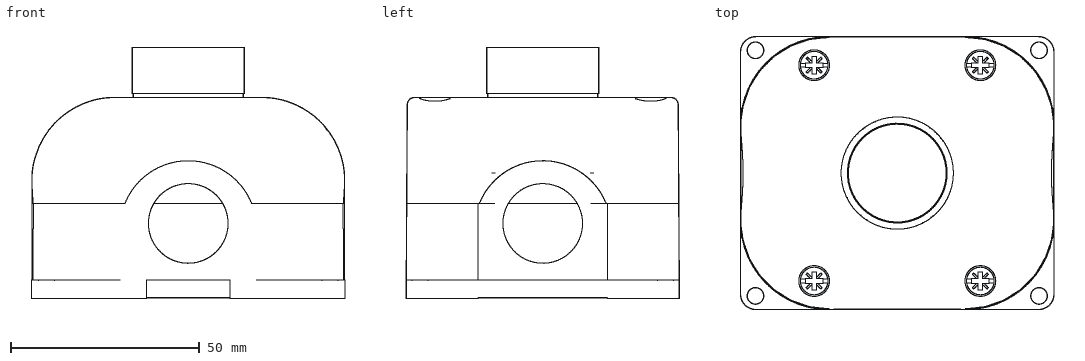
import cadquery as cq
import math

LENGTH = 83.0
WIDTH = 72.3
PLATE_HEIGHT = 4.9
PLATE_CORNER_RADIUS = 4.15
MOUNT_HOLE_DIAMETER = 4.3
MOUNT_HOLE_INSET_X = 4.0
MOUNT_HOLE_INSET_Y = 3.65
CHANNEL_DEPTH = 0.25
LONG_CHANNEL_WIDTH = 34.2
CROSS_CHANNEL_WIDTH = 22.1
NOTCH_DEPTH = 0.2

CORNER_RADIUS = 23.4
DRAFT_ANGLE = 0.33
SPLIT_HEIGHT = 25.2
COVER_TOP = 53.3
SHOULDER_RADIUS = 22.0
SHOULDER_CENTRE_X = 19.4
RIM_FILLET = 2.0

PAD_WIDTH = LONG_CHANNEL_WIDTH
PAD_RECESS = 0.02
SIDE_TAB_DEPTH = 4.8
END_TAB_DEPTH = 5.8
ARCH_HALF_WIDTH = 16.8
ARCH_TOP = 36.5
ENTRY_DIAMETER = 21.1
ENTRY_HEIGHT = 19.9

SCREW_X = 22.0
SCREW_Y = 28.55
SCREW_HOLE_DIAMETER = 8.1
SCREW_SEAT_HEIGHT = 39.8
HEAD_DIAMETER = 7.3
HEAD_HEIGHT = 2.5
HEAD_EDGE_HEIGHT = 0.7
SLOT_WIDTH = 1.0
SLOT_DEPTH = 1.9
CROSS_LENGTH = 4.65
CROSS_WIDTH = 1.25
CROSS_DEPTH = 2.1
STAR_LENGTH = 5.5
STAR_WIDTH = 0.5
STAR_DEPTH = 1.5

BUTTON_TOP = 66.5
COLLAR_RADIUS = 14.85
COLLAR_FOOT_RADIUS = 14.6
COLLAR_FOOT_HEIGHT = 1.0
COLLAR_BORE_RADIUS = 13.2
BUTTON_RADIUS = 12.95
DISH_RADIUS = 10.0
DISH_SPHERE_RADIUS = 33.2
DISH_RIM_FILLET = 5.2

END_INSET = (SPLIT_HEIGHT - PLATE_HEIGHT) * math.tan(math.radians(DRAFT_ANGLE))
END_FACE_X = LENGTH / 2 - END_INSET


def drafted_block(bottom, top):
    """Slice of the drafted, round-cornered housing between two heights."""
    inset = (bottom - PLATE_HEIGHT) * math.tan(math.radians(DRAFT_ANGLE))
    outline = cq.Sketch().rect(LENGTH - 2 * inset, WIDTH - 2 * inset).vertices().fillet(CORNER_RADIUS - inset)
    block = cq.Workplane("XY", origin=(0, 0, bottom)).placeSketch(outline)
    return block.extrude(top - bottom, taper=DRAFT_ANGLE)


def make_shoulder_prism():
    """Cover cross-section: flat top with a large round shoulder on each side."""
    reach = SHOULDER_CENTRE_X + SHOULDER_RADIUS
    arc_start = COVER_TOP - SHOULDER_RADIUS
    mid = SHOULDER_RADIUS * math.sqrt(0.5)
    return (
        cq.Workplane("XZ", origin=(0, WIDTH / 2, 0))
        .moveTo(-reach, SPLIT_HEIGHT)
        .lineTo(-reach, arc_start)
        .threePointArc((-SHOULDER_CENTRE_X - mid, arc_start + mid), (-SHOULDER_CENTRE_X, COVER_TOP))
        .lineTo(SHOULDER_CENTRE_X, COVER_TOP)
        .threePointArc((SHOULDER_CENTRE_X + mid, arc_start + mid), (reach, arc_start))
        .lineTo(reach, SPLIT_HEIGHT)
        .close()
        .extrude(WIDTH)
    )


def make_plate():
    """Mounting plate with four corner holes."""
    plate = cq.Workplane("XY").box(LENGTH, WIDTH, PLATE_HEIGHT, centered=(True, True, False))
    plate = plate.edges("|Z").fillet(PLATE_CORNER_RADIUS)
    plate = (
        plate.faces(">Z").workplane()
        .rect(LENGTH - 2 * MOUNT_HOLE_INSET_X, WIDTH - 2 * MOUNT_HOLE_INSET_Y, forConstruction=True)
        .vertices().hole(MOUNT_HOLE_DIAMETER)
    )
    channels = cq.Workplane("XY").rect(LENGTH, LONG_CHANNEL_WIDTH).extrude(CHANNEL_DEPTH)
    channels = channels.union(cq.Workplane("XY").rect(CROSS_CHANNEL_WIDTH, WIDTH).extrude(CHANNEL_DEPTH))
    notches = (
        cq.Workplane("XY").pushPoints([(0, -WIDTH / 2), (0, WIDTH / 2)])
        .rect(CROSS_CHANNEL_WIDTH, 2 * NOTCH_DEPTH).extrude(PLATE_HEIGHT)
    )
    return plate.cut(channels).cut(notches)


def make_arches(length, depth, turn):
    """Arched tabs above the split at both ends of a span centred on the origin."""
    arches = (
        cq.Workplane("XZ", origin=(0, length / 2, 0))
        .moveTo(-ARCH_HALF_WIDTH, SPLIT_HEIGHT)
        .threePointArc((0, ARCH_TOP), (ARCH_HALF_WIDTH, SPLIT_HEIGHT))
        .close()
        .extrude(length)
    )
    inside = cq.Workplane("XY").box(LENGTH, length - 2 * depth, 2 * COVER_TOP)
    return arches.cut(inside).rotate((0, 0, 0), (0, 0, 1), turn)


def make_tabs():
    """Tabs of the base that reach up into the cover on all four walls."""
    side_tabs = make_arches(WIDTH, SIDE_TAB_DEPTH, 0).intersect(drafted_block(SPLIT_HEIGHT, COVER_TOP))
    end_tabs = make_arches(2 * END_FACE_X, END_TAB_DEPTH, 90).intersect(make_shoulder_prism())
    return side_tabs.union(end_tabs)


def make_entries(length, depth, turn):
    """Blind cable entries at both ends of a span, as deep as the tabs."""
    entries = (
        cq.Workplane("XZ", origin=(0, length / 2, 0))
        .center(0, ENTRY_HEIGHT).circle(ENTRY_DIAMETER / 2).extrude(length)
    )
    inside = cq.Workplane("XY").box(LENGTH, length - 2 * depth, 2 * COVER_TOP)
    return entries.cut(inside).rotate((0, 0, 0), (0, 0, 1), turn)


def make_base():
    """Lower housing with its mounting plate, entry tabs and cable entries."""
    wall_height = SPLIT_HEIGHT - PLATE_HEIGHT
    end_trim = cq.Workplane("XY").box(2 * END_FACE_X, WIDTH, 2 * COVER_TOP)
    pad_span = 2 * (END_FACE_X - PAD_RECESS)
    end_pads = cq.Workplane("XY", origin=(0, 0, PLATE_HEIGHT)).rect(pad_span, PAD_WIDTH).extrude(wall_height)
    base = drafted_block(PLATE_HEIGHT, SPLIT_HEIGHT).intersect(end_trim).union(end_pads)
    base = base.union(make_plate()).union(make_tabs())
    base = base.cut(make_entries(WIDTH, SIDE_TAB_DEPTH, 0))
    return base.cut(make_entries(LENGTH, END_TAB_DEPTH, 90))


def make_screw_head():
    """Domed head with a full-width slot, a cross recess and diagonal star grooves, standing on Z = 0."""
    dome_rise = HEAD_HEIGHT - HEAD_EDGE_HEIGHT
    dome_radius = ((HEAD_DIAMETER / 2) ** 2 + dome_rise**2) / (2 * dome_rise)
    dome = cq.Workplane("XY", origin=(0, 0, HEAD_HEIGHT - dome_radius)).sphere(dome_radius)
    head = cq.Workplane("XY").circle(HEAD_DIAMETER / 2).extrude(HEAD_HEIGHT).intersect(dome)
    recesses = [
        (HEAD_DIAMETER, SLOT_WIDTH, SLOT_DEPTH, 0),
        (CROSS_LENGTH, CROSS_WIDTH, CROSS_DEPTH, 0),
        (CROSS_LENGTH, CROSS_WIDTH, CROSS_DEPTH, 90),
        (STAR_LENGTH, STAR_WIDTH, STAR_DEPTH, 45),
        (STAR_LENGTH, STAR_WIDTH, STAR_DEPTH, -45),
    ]
    for length, width, depth, turn in recesses:
        groove = cq.Workplane("XY", origin=(0, 0, HEAD_HEIGHT)).rect(length, width).extrude(-depth)
        head = head.cut(groove.rotate((0, 0, 0), (0, 0, 1), turn))
    return head


def make_cover():
    """Upper housing with a screw head at the bottom of each of its four screw holes."""
    cover = drafted_block(SPLIT_HEIGHT, COVER_TOP).intersect(make_shoulder_prism())
    front_space = cq.Workplane("XY").box(LENGTH, WIDTH, 2 * COVER_TOP).translate((0, -WIDTH / 2, 0))
    rim = cq.selectors.NearestToPointSelector((0, -WIDTH / 2, COVER_TOP))
    front_half = cover.intersect(front_space).edges(rim).fillet(RIM_FILLET)
    cover = front_half.union(front_half.mirror("XZ"))
    cover = cover.cut(make_tabs())
    head = make_screw_head()
    for x in (-SCREW_X, SCREW_X):
        for y in (-SCREW_Y, SCREW_Y):
            seat = cq.Workplane("XY", origin=(x, y, SCREW_SEAT_HEIGHT))
            cover = cover.cut(seat.circle(SCREW_HOLE_DIAMETER / 2).extrude(COVER_TOP - SCREW_SEAT_HEIGHT))
            cover = cover.union(head.translate((x, y, SCREW_SEAT_HEIGHT)))
    return cover


def make_collar():
    """Ring around the button, standing on a slightly narrower foot."""
    ring_height = BUTTON_TOP - COVER_TOP - COLLAR_FOOT_HEIGHT
    seat = cq.Workplane("XY", origin=(0, 0, COVER_TOP))
    collar = seat.circle(COLLAR_FOOT_RADIUS).extrude(COLLAR_FOOT_HEIGHT)
    collar = collar.faces(">Z").workplane().circle(COLLAR_RADIUS).extrude(ring_height)
    return collar.faces(">Z").workplane().circle(COLLAR_BORE_RADIUS).cutThruAll()


def make_button():
    """Round button with a shallow spherical dish and a rounded dish rim."""
    sphere_height = BUTTON_TOP + math.sqrt(DISH_SPHERE_RADIUS**2 - DISH_RADIUS**2)
    dish = cq.Workplane("XY", origin=(0, 0, sphere_height)).sphere(DISH_SPHERE_RADIUS)
    seat = cq.Workplane("XY", origin=(0, 0, COVER_TOP))
    button = seat.circle(BUTTON_RADIUS).extrude(BUTTON_TOP - COVER_TOP)
    button = button.cut(dish)
    dish_rim = cq.selectors.RadiusNthSelector(0)
    return button.faces(">Z").edges(dish_rim).fillet(DISH_RIM_FILLET)


base = make_base()
cover = make_cover()
collar = make_collar()
button = make_button()

result = cq.Compound.makeCompound([base.val(), cover.val(), collar.val(), button.val()])